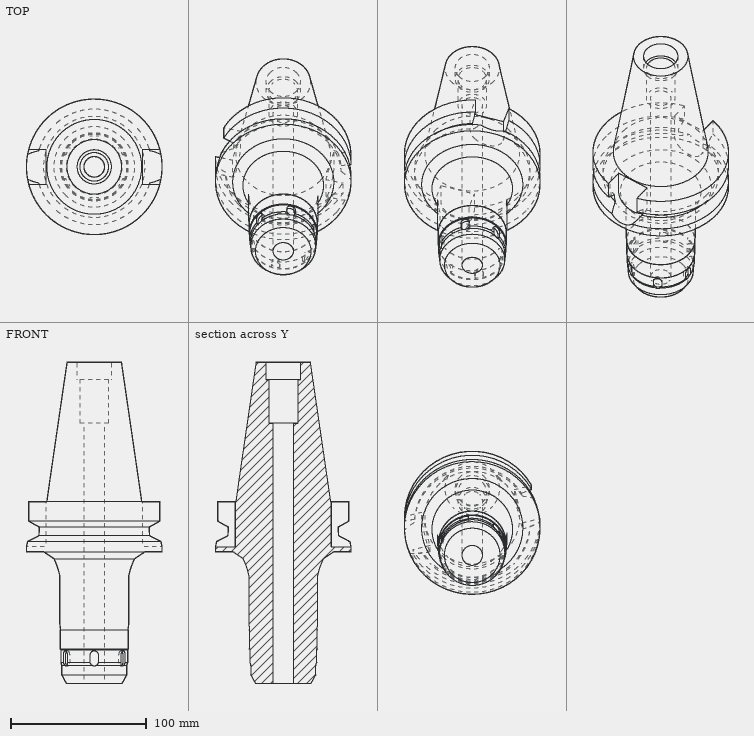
import cadquery as cq
import math

gauge_radius = 69.85 / 2
taper_length = 101.8
taper_ratio = 7 / 24
taper_end_radius = gauge_radius - taper_length * taper_ratio / 2

flange_radius = 50.0
flange_top = -1.0
flange_bottom = -38.0
groove_radius = 42.6
groove_center = -22.9
groove_floor_width = 6.4
groove_wall_angle = 30.0
groove_floor_top = groove_center + groove_floor_width / 2
groove_floor_bottom = groove_center - groove_floor_width / 2
groove_wall_height = (flange_radius - groove_radius) * math.tan(math.radians(groove_wall_angle))

drive_slot_width = 25.7
drive_slot_floor = 35.4
drive_slot_bottom = -34.1

neck_top_radius = 37.3
neck_bend_radius = 29.7
neck_bend_z = -43.1
neck_bottom_z = -55.6
neck_arc_sag = 0.4

body_radius = 25.5
body_bottom = -90.9
relief_end_radius = 24.9
relief_bottom = -95.4
nut_radius = 25.1
nut_shoulder = -109.4
slotted_band_radius = 24.7
slotted_band_top = -110.1
slotted_band_bottom = -119.5
nose_top = -121.5
nose_radius = 24.0
nose_chamfer_top = -128.6
nose_end = -135.0
nose_end_radius = 20.5

wrench_slot_count = 6
wrench_slot_width = 6.2
wrench_slot_top = -110.9
wrench_slot_bottom = -122.0
wrench_slot_floor = 22.6

entry_bore_radius = 12.6
entry_bore_depth = 13.0
thread_bore_radius = 10.5
thread_bore_depth = 45.0
through_bore_radius = 7.5


def neck_arc_middle():
    """Middle point of the concave arc that joins the neck cone to the body."""
    chord_r = body_radius - neck_bend_radius
    chord_z = neck_bottom_z - neck_bend_z
    chord = math.hypot(chord_r, chord_z)
    middle_r = (neck_bend_radius + body_radius) / 2 + neck_arc_sag * chord_z / chord
    middle_z = (neck_bend_z + neck_bottom_z) / 2 - neck_arc_sag * chord_r / chord
    return middle_r, middle_z


def turned_body():
    """Solid of revolution: taper, flange, neck, body and nut."""
    profile = (
        cq.Workplane("XZ")
        .moveTo(0, taper_length)
        .lineTo(taper_end_radius, taper_length)
        .lineTo(gauge_radius, 0)
        .lineTo(gauge_radius, flange_top)
        .lineTo(flange_radius, flange_top)
        .lineTo(flange_radius, groove_floor_top + groove_wall_height)
        .lineTo(groove_radius, groove_floor_top)
        .lineTo(groove_radius, groove_floor_bottom)
        .lineTo(flange_radius, groove_floor_bottom - groove_wall_height)
        .lineTo(flange_radius, flange_bottom)
        .lineTo(neck_top_radius, flange_bottom)
        .lineTo(neck_bend_radius, neck_bend_z)
        .threePointArc(neck_arc_middle(), (body_radius, neck_bottom_z))
        .lineTo(body_radius, body_bottom)
        .lineTo(relief_end_radius, relief_bottom)
        .lineTo(nut_radius, relief_bottom)
        .lineTo(nut_radius, nut_shoulder)
        .lineTo(slotted_band_radius, slotted_band_top)
        .lineTo(slotted_band_radius, slotted_band_bottom)
        .lineTo(nose_radius, nose_top)
        .lineTo(nose_radius, nose_chamfer_top)
        .lineTo(nose_end_radius, nose_end)
        .lineTo(0, nose_end)
        .close()
    )
    return profile.revolve(360, (0, 0, 0), (0, 1, 0))


def drive_slot(angle):
    """Cutter for a round-bottomed slot, open upward and outward."""
    half_width = drive_slot_width / 2
    arc_z = drive_slot_bottom + half_width
    cutter = (
        cq.Workplane("YZ", origin=(drive_slot_floor, 0, 0))
        .moveTo(-half_width, flange_top)
        .lineTo(-half_width, arc_z)
        .threePointArc((0, drive_slot_bottom), (half_width, arc_z))
        .lineTo(half_width, flange_top)
        .close()
        .extrude(flange_radius - drive_slot_floor)
    )
    return cutter.rotate((0, 0, 0), (0, 0, 1), angle)


def wrench_slot(angle):
    """Cutter for an upright, flat-floored slot in the nut."""
    center_z = (wrench_slot_top + wrench_slot_bottom) / 2
    cutter = (
        cq.Workplane("YZ", origin=(wrench_slot_floor, 0, center_z))
        .slot2D(wrench_slot_top - wrench_slot_bottom, wrench_slot_width, 90)
        .extrude(nut_radius - wrench_slot_floor)
    )
    return cutter.rotate((0, 0, 0), (0, 0, 1), angle)


def bore(radius, depth):
    """Cutter for an axial hole sunk from the small end of the taper."""
    return cq.Workplane("XY", origin=(0, 0, taper_length)).circle(radius).extrude(-depth)


result = turned_body()

for side_angle in (0, 180):
    result = result.cut(drive_slot(side_angle))

for index in range(wrench_slot_count):
    result = result.cut(wrench_slot(90 + index * 360 / wrench_slot_count))

result = result.cut(bore(entry_bore_radius, entry_bore_depth))
result = result.cut(bore(thread_bore_radius, thread_bore_depth))
result = result.cut(bore(through_bore_radius, taper_length - nose_end))